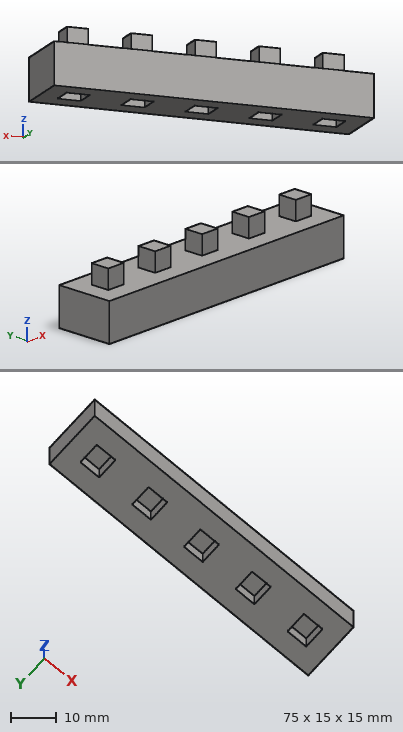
import cadquery as cq

station_count = 5
station_pitch = 15.0
bar_length = station_count * station_pitch
bar_width = 15.0
bar_height = 10.0

peg_side = 5.0
peg_height = 5.0
side_clearance = 0.2
socket_side = peg_side + 2 * side_clearance
socket_depth = peg_height


def make_bar():
    """Rectangular bar centred in X and Y, resting on Z = 0."""
    return cq.Workplane("XY").box(bar_length, bar_width, bar_height, centered=(True, True, False))


def square_prisms(base_z, side, height):
    """One upright square prism per station, evenly spaced along the bar's centreline."""
    return (
        cq.Workplane("XY", origin=(0, 0, base_z))
        .rarray(station_pitch, station_pitch, station_count, 1)
        .rect(side, side)
        .extrude(height)
    )


pegs = square_prisms(bar_height, peg_side, peg_height)
sockets = square_prisms(0, socket_side, socket_depth)

result = make_bar().union(pegs).cut(sockets)